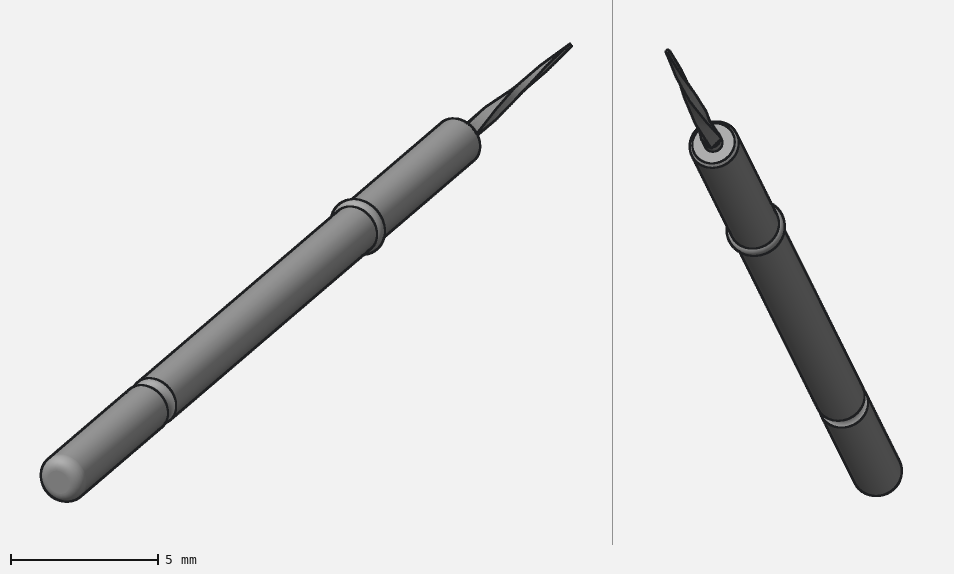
import cadquery as cq
import math

TOTAL_LENGTH = 38.7
HANDLE_LENGTH = 30.35
HANDLE_RADIUS = 0.85
BUTT_ROUNDING = 0.43
SHOULDER_CHAMFER = 0.1

COLLAR_RADIUS = 1.0
COLLAR_START = 22.4
COLLAR_WIDTH = 0.45

GROOVE_CENTRE = 6.9
GROOVE_HALF_WIDTH = 0.3
GROOVE_DEPTH = 0.25

NECK_RADIUS = 0.3
NECK_LENGTH = 0.4

TIP_BASE_RADIUS = 0.35
TIP_POINT_RADIUS = 0.08
TIP_TWIST = 180.0
TIP_SECTION_COUNT = 17


def make_handle():
    """Turned profile: rounded butt, groove, rounded collar and chamfered shoulder."""
    butt_flat = HANDLE_RADIUS - BUTT_ROUNDING
    rounding_middle = BUTT_ROUNDING * math.sqrt(0.5)
    collar_middle = COLLAR_START + COLLAR_WIDTH / 2
    profile = (
        cq.Workplane("YZ")
        .lineTo(0, butt_flat)
        .threePointArc(
            (BUTT_ROUNDING - rounding_middle, butt_flat + rounding_middle),
            (BUTT_ROUNDING, HANDLE_RADIUS),
        )
        .lineTo(GROOVE_CENTRE - GROOVE_HALF_WIDTH, HANDLE_RADIUS)
        .threePointArc(
            (GROOVE_CENTRE, HANDLE_RADIUS - GROOVE_DEPTH),
            (GROOVE_CENTRE + GROOVE_HALF_WIDTH, HANDLE_RADIUS),
        )
        .lineTo(COLLAR_START, HANDLE_RADIUS)
        .threePointArc(
            (collar_middle, COLLAR_RADIUS),
            (COLLAR_START + COLLAR_WIDTH, HANDLE_RADIUS),
        )
        .lineTo(HANDLE_LENGTH - SHOULDER_CHAMFER, HANDLE_RADIUS)
        .lineTo(HANDLE_LENGTH, HANDLE_RADIUS - SHOULDER_CHAMFER)
        .lineTo(HANDLE_LENGTH, 0)
        .close()
    )
    return profile.revolve(360, (0, 0, 0), (1, 0, 0))


def make_neck():
    neck = cq.Workplane("XZ", origin=(0, HANDLE_LENGTH, 0))
    return neck.circle(NECK_RADIUS).extrude(-NECK_LENGTH)


def tip_section(fraction):
    """Square outline at a fraction of the way along the tip."""
    start = HANDLE_LENGTH + NECK_LENGTH
    y = start + fraction * (TOTAL_LENGTH - start)
    radius = TIP_BASE_RADIUS + fraction * (TIP_POINT_RADIUS - TIP_BASE_RADIUS)
    corners = []
    for index in range(4):
        angle = math.radians(fraction * TIP_TWIST + 90 * index)
        corners.append(cq.Vector(radius * math.cos(angle), y, radius * math.sin(angle)))
    return cq.Wire.makePolygon(corners, close=True)


def make_tip():
    """Loft through sections that shrink and turn on the way to the point."""
    last = TIP_SECTION_COUNT - 1
    sections = [tip_section(index / last) for index in range(TIP_SECTION_COUNT)]
    return cq.Workplane(cq.Solid.makeLoft(sections))


result = make_handle().union(make_neck()).union(make_tip())